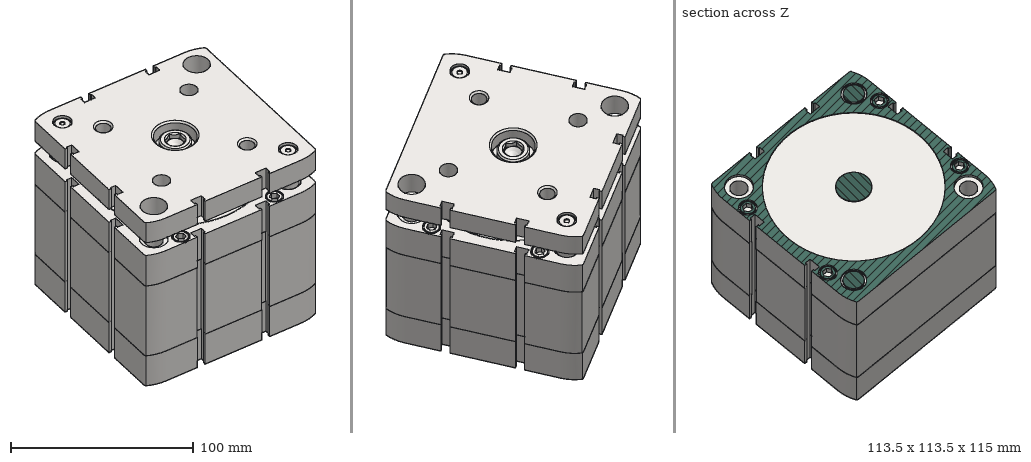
import cadquery as cq
import math

width = 113.5
half = width / 2
total_height = 115.0
housing_height = 92.0
plate_thickness = 14.0
plate_bottom = total_height - plate_thickness

flank_start = 44.7
flank_radius = 26.5
flank_end = 56.4
nose_end = 52.4

lower_cap_height = 21.2
upper_cap_bottom = 70.4
barrel_inset = 0.1

slot_offset = 21.4
slot_depth = 5.1
slot_mouth_width = 5.2
slot_lip = 1.6
slot_inner_width = 7.0

corner_offset = 44.5
guide_diameter = 12.0
guide_end = 69.0
guide_spigot_diameter = 10.0
guide_spigot_recess = 1.0
guide_spigot_chamfer = 0.8
guide_counterbore_diameter = 10.7
guide_centre_hole = 3.0
guide_centre_depth = 1.2
guide_seal_diameter = 14.0
guide_seal_depth = 1.2

access_diameter = 15.0
mount_recess_diameter = 15.8
mount_recess_depth = 1.7
mount_thread_diameter = 10.0
mount_thread_depth = 23.0
mount_through_diameter = 8.4

fixing_offset = 28.4
fixing_diameter = 10.0
fixing_tap_diameter = 8.5
fixing_mouth_diameter = 10.7

centre_bore_diameter = 24.0
centre_bore_depth = 9.2
centre_bore_chamfer = 1.0
rod_diameter = 20.0
rod_end = 69.0
rod_stub_diameter = 18.0
rod_stub_top = 112.1
rod_stub_chamfer = 0.9
rod_across_flats = 17.0
rod_flat_bottom = 94.3
socket_across_flats = 10.0
socket_rim_diameter = 12.0
socket_depth = 3.5
socket_floor_depth = 1.7
drill_point_diameter = 6.0
drill_point_depth = 1.7

bearing_recess_diameter = 100.0
bearing_recess_depth = 0.6
screw_x = 51.1
screw_y = 31.0
screw_hole_diameter = 10.0
screw_head_diameter = 8.5
screw_gap_depth = 1.2
screw_socket_across_flats = 5.0
screw_socket_depth = 3.5

guide_points = [(-corner_offset, -corner_offset), (corner_offset, corner_offset)]
mount_points = [(-corner_offset, corner_offset), (corner_offset, -corner_offset)]
tapped_points = [(-fixing_offset, -fixing_offset), (fixing_offset, fixing_offset)]
plain_points = [(-fixing_offset, fixing_offset), (fixing_offset, -fixing_offset)]
screw_points = [(sx * screw_x, sy * screw_y) for sx in (-1, 1) for sy in (-1, 1)]


def cylinder(diameter, bottom, top, points=((0, 0),)):
    base = cq.Workplane("XY").workplane(offset=bottom).pushPoints(points)
    return base.circle(diameter / 2).extrude(top - bottom)


def cone(bottom_diameter, top_diameter, bottom, top, point=(0, 0)):
    solid = cq.Solid.makeCone(
        bottom_diameter / 2, top_diameter / 2, top - bottom, pnt=cq.Vector(point[0], point[1], bottom)
    )
    return cq.Workplane("XY").add(solid)


def hexagon(across_flats, bottom, top, points=((0, 0),)):
    across_corners = across_flats / math.cos(math.pi / 6)
    base = cq.Workplane("XY").workplane(offset=bottom).pushPoints(points)
    return base.polygon(6, across_corners).extrude(top - bottom)


def point_on_circle(centre, radius, angle):
    return (centre[0] + radius * math.cos(angle), centre[1] + radius * math.sin(angle))


def body_block(bottom, top, inset=0.0):
    """Square prism whose corners are rounded by a flank arc and a nose arc."""
    flank_centre = (half - flank_radius, flank_start)
    flank_angle = math.asin((flank_end - flank_start) / flank_radius)
    flank_middle = point_on_circle(flank_centre, flank_radius, flank_angle / 2)
    flank_tip = point_on_circle(flank_centre, flank_radius, flank_angle)

    nose_run = flank_tip[0] - nose_end
    nose_drop = half - flank_end
    nose_radius = (nose_run**2 + nose_drop**2) / (2 * nose_drop)
    nose_angle = math.asin(nose_run / nose_radius)
    nose_middle = point_on_circle((nose_end, half - nose_radius), nose_radius, (math.pi - nose_angle) / 2)

    quarter = (
        cq.Workplane("XY")
        .moveTo(0, 0)
        .lineTo(half, 0)
        .lineTo(half, flank_start)
        .threePointArc(flank_middle, flank_tip)
        .threePointArc(nose_middle, (nose_end, half))
        .lineTo(0, half)
        .close()
        .extrude(top - bottom)
    )
    side = quarter.union(quarter.mirror("XZ"))
    block = side.union(side.mirror("YZ")).clean()
    if inset:
        outline = block.faces(">Z").workplane().add(block.faces(">Z").wires()).toPending()
        block = outline.offset2D(-inset).extrude(bottom - top, combine=False)
    return block.translate((0, 0, bottom))


def sensor_slots(bottom, top, inset=0.0):
    """T slots: two in each X face and two in the -Y face."""
    height = top - bottom
    mouth = cq.Workplane("XY").box(slot_mouth_width, slot_depth, height, centered=(True, False, False))
    inner_depth = slot_depth - slot_lip
    inner = cq.Workplane("XY").box(slot_inner_width, inner_depth, height, centered=(True, False, False))
    slot = mouth.union(inner.translate((0, slot_lip, 0)))
    pair = cq.Workplane("XY")
    for offset in (-slot_offset, slot_offset):
        pair = pair.add(slot.translate((offset, inset - half, bottom)))
    slots = cq.Workplane("XY")
    for angle in (-90, 0, 90):
        slots = slots.add(pair.rotate((0, 0, 0), (0, 0, 1), angle))
    return slots.combine()


def slotted_block(bottom, top, inset=0.0):
    """Rounded block with its sensor slots, both set in by the same amount."""
    return body_block(bottom, top, inset).cut(sensor_slots(bottom, top, inset))


def make_housing():
    housing = slotted_block(0, lower_cap_height)
    housing = housing.union(slotted_block(lower_cap_height, upper_cap_bottom, barrel_inset))
    housing = housing.union(slotted_block(upper_cap_bottom, housing_height))

    housing = housing.cut(
        cylinder(bearing_recess_diameter, housing_height - bearing_recess_depth, housing_height)
    )
    housing = housing.cut(cylinder(rod_diameter, rod_end, housing_height))

    housing = housing.cut(cylinder(guide_diameter, guide_end, housing_height, guide_points))
    housing = housing.cut(
        cylinder(guide_seal_diameter, housing_height - guide_seal_depth, housing_height, guide_points)
    )

    thread_bottom = housing_height - mount_thread_depth
    step_height = (mount_thread_diameter - mount_through_diameter) / 2
    housing = housing.cut(
        cylinder(mount_recess_diameter, housing_height - mount_recess_depth, housing_height, mount_points)
    )
    housing = housing.cut(cylinder(mount_thread_diameter, thread_bottom, housing_height, mount_points))
    housing = housing.cut(cylinder(mount_through_diameter, 0, housing_height, mount_points))
    for point in mount_points:
        step = cone(
            mount_through_diameter, mount_thread_diameter, thread_bottom - step_height, thread_bottom, point
        )
        housing = housing.cut(step)

    gap_bottom = housing_height - screw_gap_depth
    gap = cylinder(screw_hole_diameter, gap_bottom, housing_height, screw_points)
    gap = gap.cut(cylinder(screw_head_diameter, gap_bottom, housing_height, screw_points))
    housing = housing.cut(gap)
    socket_bottom = housing_height - screw_socket_depth
    return housing.cut(hexagon(screw_socket_across_flats, socket_bottom, housing_height, screw_points))


def make_piston_rod():
    rod = cylinder(rod_diameter, rod_end, plate_bottom)

    flat = rod_across_flats / 2
    reach = rod_diameter / 2
    flat_cut = (
        cq.Workplane("YZ")
        .polyline([
            (flat, plate_bottom),
            (flat, rod_flat_bottom),
            (reach, rod_flat_bottom - (reach - flat)),
            (reach, plate_bottom),
        ])
        .close()
        .extrude(reach, both=True)
    )
    rod = rod.cut(flat_cut).cut(flat_cut.mirror("XZ"))

    stub = cylinder(rod_stub_diameter, plate_bottom, rod_stub_top)
    return rod.union(stub.faces(">Z").chamfer(rod_stub_chamfer))


def make_rod_socket():
    socket_bottom = rod_stub_top - socket_depth
    floor_bottom = socket_bottom - socket_floor_depth
    rim_depth = (socket_rim_diameter - socket_across_flats) / 2
    socket = hexagon(socket_across_flats, socket_bottom, rod_stub_top)
    socket = socket.union(
        cone(socket_across_flats, socket_rim_diameter, rod_stub_top - rim_depth, rod_stub_top)
    )
    socket = socket.union(cone(drill_point_diameter, socket_across_flats, floor_bottom, socket_bottom))
    return socket.union(cone(0, drill_point_diameter, floor_bottom - drill_point_depth, floor_bottom))


def make_guide_rods():
    spigot_top = total_height - guide_spigot_recess
    rods = cylinder(guide_diameter, guide_end, plate_bottom, guide_points)
    spigots = cylinder(guide_spigot_diameter, plate_bottom, spigot_top, guide_points)
    spigots = spigots.faces(">Z").chamfer(guide_spigot_chamfer)
    centre_holes = cylinder(guide_centre_hole, spigot_top - guide_centre_depth, spigot_top, guide_points)
    return rods.union(spigots.cut(centre_holes))


def make_moving_plate():
    plate = slotted_block(plate_bottom, total_height)
    plate = plate.cut(cylinder(access_diameter, plate_bottom, total_height, mount_points))
    plate = plate.cut(cylinder(fixing_diameter, plate_bottom, total_height, plain_points))
    counterbore_bottom = total_height - guide_spigot_recess - guide_spigot_chamfer
    plate = plate.cut(
        cylinder(guide_counterbore_diameter, counterbore_bottom, total_height, guide_points)
    )

    tap_chamfer = (fixing_mouth_diameter - fixing_tap_diameter) / 2
    plate = plate.cut(cylinder(fixing_tap_diameter, plate_bottom, total_height, tapped_points))
    for point in tapped_points:
        mouth = cone(
            fixing_tap_diameter, fixing_mouth_diameter, total_height - tap_chamfer, total_height, point
        )
        plate = plate.cut(mouth)

    plate = plate.cut(cylinder(centre_bore_diameter, total_height - centre_bore_depth, total_height))
    plate = plate.cut(
        cone(
            centre_bore_diameter,
            centre_bore_diameter + 2 * centre_bore_chamfer,
            total_height - centre_bore_chamfer,
            total_height,
        )
    )
    return plate.union(make_piston_rod()).union(make_guide_rods()).cut(make_rod_socket())


housing = make_housing()
moving_plate = make_moving_plate()
result = cq.Compound.makeCompound([*housing.vals(), *moving_plate.vals()])